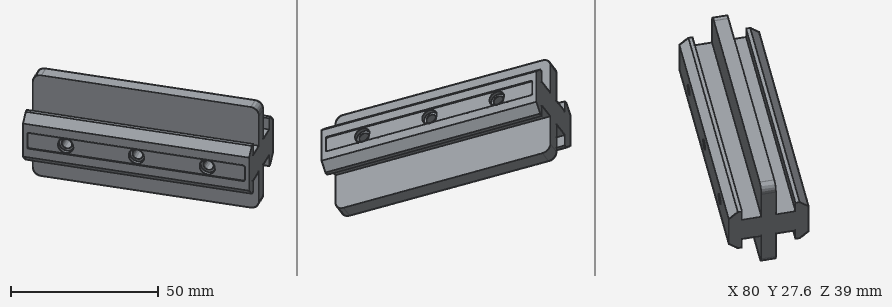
import cadquery as cq

length = 80.0
depth = 27.6
height = 39.0

plate_thickness = 5.0
plate_corner_radius = 3.0
neck_height = 9.9
rail_height = 18.6
rail_face_height = 12.8
rail_thickness = 4.6
rail_bevel_depth = 3.1

recess_margin = 1.5
recess_height = 6.1
recess_depth = 0.5
recess_corner_radius = 0.7

hole_count = 3
hole_pitch = 25.0
hole_diameter = 3.6
counterbore_diameter = 5.4
counterbore_depth = 1.5

front_y = -depth / 2
recess_floor_y = front_y + recess_depth


def make_plate():
    """Upright plate with rounded corners."""
    plate = cq.Workplane("XY").box(length, plate_thickness, height)
    return plate.edges("|Y").fillet(plate_corner_radius)


def make_rail():
    """Front rail with its outer edges bevelled."""
    inner_y = front_y + rail_thickness
    bevel_y = front_y + rail_bevel_depth
    outline = [
        (inner_y, -rail_height / 2),
        (bevel_y, -rail_height / 2),
        (front_y, -rail_face_height / 2),
        (front_y, rail_face_height / 2),
        (bevel_y, rail_height / 2),
        (inner_y, rail_height / 2),
    ]
    return cq.Workplane("YZ").polyline(outline).close().extrude(length / 2, both=True)


def make_recess():
    """Rounded rectangle removed from the front rail face."""
    recess = cq.Workplane("XY").box(length - 2 * recess_margin, recess_depth, recess_height)
    recess = recess.edges("|Y").fillet(recess_corner_radius)
    return recess.translate((0, front_y + recess_depth / 2, 0))


def make_holes():
    """Row of through holes, counterbored from the recess floor."""
    face = cq.Workplane("XZ", origin=(0, front_y, 0)).rarray(hole_pitch, 0.8, hole_count, 1)
    bores = face.circle(hole_diameter / 2).extrude(-depth)
    counterbores = (
        cq.Workplane("XZ", origin=(0, recess_floor_y, 0))
        .rarray(hole_pitch, 0.8, hole_count, 1)
        .circle(counterbore_diameter / 2)
        .extrude(-counterbore_depth)
    )
    return bores.union(counterbores)


front_rail = make_rail()
back_rail = front_rail.mirror("XZ")
neck = cq.Workplane("XY").box(length, depth - 2 * rail_thickness, neck_height)

body = make_plate().union(neck).union(front_rail).union(back_rail)
result = body.cut(make_recess()).cut(make_holes())